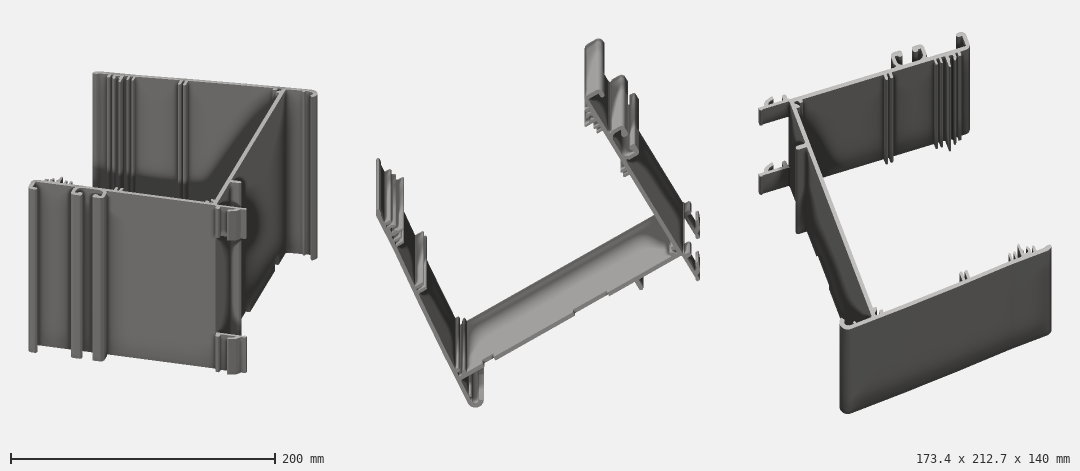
import cadquery as cq
import math

height = 140.0
wall = 3.2

web_left = 145.0
web_right = web_left + wall

plate_bottom = 12.5
plate_top = plate_bottom + wall
plate_left = 3.2
plate_corner_radius = 4.5

arch_start = (34.2, 200.0)
arch_middle = (93.2, 206.3)
arch_end = (166.5, 212.7)
hook_center = (167.0, 206.3)
hook_radius = 6.4
hook_wall = 3.6
hook_start_angle = 95
hook_end_angle = -57
hook_bead_center = (162.3, 208.3)
hook_bead_radius = 1.0
upper_corner_y = 206.8
upper_root_y = 208.0

end_rib = (12.1, 2.3)
thin_ribs = [(27.5, 1.7), (31.5, 1.7)]
middle_ribs = [(67.0, 2.3), (71.0, 2.3)]
rib_root = 13.2
rib_tip = 20.6
mirror_y = 105.3
upper_middle_rib_root = 202.0
upper_middle_rib_tip = 193.4
lower_end_rib_tip = 19.1
upper_end_rib_root = 197.0
upper_end_rib_tip = 190.0

lip_thickness = 3.6
lip_bend_radius = 3.2
edge_lip_end = 10.6
edge_bend_radius = 4.0
slot_center_x = 50.0
slot_half_width = 13.2
slot_arm = 2.8
slot_lip_length = 9.1
slot_bead_radius = 2.1
slot_bead_center_y = 3.2
slot_dome_radius = 4.7
relief_radius = 1.0
relief_drop = 1.3

fin_bottom = 52.0
fin_thickness = 3.5
fin_end = 156.5
flange_bottom = 11.7
flange_thickness = 2.3
flange_start = 147.6
flange_end = 172.0
tip_bead_center = (170.5, 13.5)
tip_bead_radius = 1.3
leg_left = 149.0
leg_width = 3.5
leg_bottom = 7.5
leg_chamfer = 0.9
root_fillet = 1.3

window_bottom = 30.5
window_top = 114.9
window_y_top = 21.3
corner_notch = (177.6, 187.2, 10.0)
middle_notch = (77.6, 107.6, 6.5)


def extrude(outline):
    """Extrude a closed outline over the full height of the profile."""
    return outline.close().extrude(height)


def polygon(points):
    return extrude(cq.Workplane("XY").polyline(points))


def disc(center, radius):
    return cq.Workplane("XY").center(*center).circle(radius).extrude(height)


def slab(x0, x1, y0, y1):
    return polygon([(x0, y0), (x1, y0), (x1, y1), (x0, y1)])


def round_rib(left, width, root, tip):
    """Rib along Y with a half-round end at tip."""
    radius = width / 2
    shoulder = tip - math.copysign(radius, tip - root)
    return extrude(
        cq.Workplane("XY")
        .moveTo(left, root)
        .lineTo(left, shoulder)
        .threePointArc((left + radius, tip), (left + width, shoulder))
        .lineTo(left + width, root)
    )


def mirrored(body):
    """Mirror a body across the middle plane between the two plates."""
    return body.mirror("XZ", (0, mirror_y, 0))


def fused(bodies):
    whole = bodies[0]
    for body in bodies[1:]:
        whole = whole.union(body)
    return whole


def web_root(x, y, side):
    """Concave fillet between the web and a wall; side is the Y direction it opens to."""
    corner = slab(x, x + root_fillet, *sorted((y, y + side * root_fillet)))
    return corner.cut(disc((x + root_fillet, y + side * root_fillet), root_fillet))


def upper_plate():
    def lowered(point):
        return (point[0], point[1] - wall)

    return extrude(
        cq.Workplane("XY")
        .moveTo(*arch_start)
        .threePointArc(arch_middle, arch_end)
        .lineTo(*lowered(arch_end))
        .threePointArc(lowered(arch_middle), lowered(arch_start))
        .lineTo(14.9, 195.3)
        .lineTo(6.0, 194.5)
        .lineTo(3.2, 193.1)
        .lineTo(0.9, 193.1)
        .lineTo(0, 194.0)
        .lineTo(0.2, 195.0)
        .threePointArc((2.3, 197.0), (6.0, 197.8))
    )


def upper_hook():
    center_x, center_y = hook_center
    inner_radius = hook_radius - hook_wall

    def at(radius, degrees):
        angle = math.radians(degrees)
        return (center_x + radius * math.cos(angle), center_y + radius * math.sin(angle))

    ring = extrude(
        cq.Workplane("XY")
        .moveTo(*at(hook_radius, hook_start_angle))
        .threePointArc(at(hook_radius, 0), at(hook_radius, hook_end_angle))
        .lineTo(*at(inner_radius, hook_end_angle))
        .threePointArc(at(inner_radius, 0), at(inner_radius, hook_start_angle))
    )
    return ring.union(disc(hook_bead_center, hook_bead_radius))


def lower_plate():
    """Plate whose left edge bends down into a lip."""
    inner_left = plate_left + wall
    lip_radius = lip_thickness / 2
    plate = slab(plate_left, web_right, 0, plate_top)
    plate = plate.edges("|Z and <X and >Y").fillet(plate_corner_radius)
    plate = plate.edges("|Z and <X and <Y").fillet(edge_bend_radius)
    plate = plate.cut(slab(inner_left, web_right, lip_thickness, plate_bottom))
    plate = plate.cut(slab(edge_lip_end - lip_radius, web_right, 0, lip_thickness))
    return plate.union(disc((edge_lip_end - lip_radius, lip_radius), lip_radius))


def slot_side(side):
    """One arm of the T-slot with its beaded lip; side is -1 for left and +1 for right."""
    def across(distance):
        return slot_center_x + side * distance

    def block(inner, outer, y0, y1):
        return slab(*sorted((across(inner), across(outer))), y0, y1)

    inner_half = slot_half_width - slot_arm
    lip_half = slot_half_width - slot_lip_length
    dome_half = inner_half - slot_dome_radius
    bead_half = lip_half + slot_bead_radius
    outer_corner = "|Z and <Y and " + ("<X" if side < 0 else ">X")
    arm = block(bead_half, slot_half_width, 0, plate_top).edges(outer_corner).fillet(lip_bend_radius)
    arm = arm.cut(block(bead_half, inner_half, lip_thickness, plate_bottom))
    dome_y = plate_bottom - slot_dome_radius
    dome = block(dome_half, inner_half, dome_y, plate_bottom)
    dome = dome.cut(disc((across(dome_half), dome_y), slot_dome_radius))
    lip_bead = disc((across(bead_half), slot_bead_center_y), slot_bead_radius)
    lip_edge = disc((across(lip_half + lip_thickness / 2), lip_thickness / 2), lip_thickness / 2)
    relief = disc((across(slot_half_width), plate_bottom - relief_drop), relief_radius)
    return fused([arm, dome, lip_bead, lip_edge]).cut(relief)


def snap_teeth():
    """Pair of barbed teeth, the right one extended into a long rib."""
    floor = 16.4
    return polygon([
        (16.2, rib_root),
        (16.2, 19.1),
        (17.5, 21.3),
        (18.3, 22.0),
        (19.0, 20.0),
        (18.0, 17.9),
        (19.0, floor),
        (21.7, floor),
        (21.7, 17.9),
        (21.0, 19.0),
        (22.5, 21.5),
        (22.5, 24.9),
        (23.2, 25.7),
        (23.6, 25.7),
        (24.3, 24.9),
        (24.3, rib_root),
    ])


def rib_cluster():
    return [snap_teeth()] + [round_rib(left, width, rib_root, rib_tip) for left, width in thin_ribs]


def screw_channel(floor, side):
    """Boss and barb that hold a screw in the corner; side is the Y direction away from the plate."""
    root = -wall / 2
    boss = [(138.7, root), (138.7, 2.3), (141.0, 2.3), (141.9, 0.9), (141.9, root)]
    barb = [(146.8, 1.3), (145.0, 1.3), (142.5, 3.6), (141.9, 5.3), (142.7, 5.7), (146.8, 5.7)]
    return [polygon([(x, floor + side * rise) for x, rise in outline]) for outline in (boss, barb)]


def fin():
    radius = fin_thickness / 2
    bar = slab(web_left, fin_end - radius, fin_bottom, fin_bottom + fin_thickness)
    return bar.union(disc((fin_end - radius, fin_bottom + radius), radius))


def lower_flange():
    """Thin flange with a straight leg, a beaded tip and a curved hook."""
    flange = slab(flange_start, flange_end, flange_bottom, flange_bottom + flange_thickness)
    tip_bead = disc(tip_bead_center, tip_bead_radius)
    leg = slab(leg_left, leg_left + leg_width, leg_bottom, flange_bottom + flange_thickness / 2)
    leg = leg.edges("|Z and <Y").chamfer(leg_chamfer)
    hook = extrude(
        cq.Workplane("XY")
        .moveTo(168.0, 12.3)
        .threePointArc((167.2, 10.0), (165.3, 7.9))
        .lineTo(160.0, 5.7)
        .lineTo(159.0, 6.0)
        .lineTo(159.0, 8.0)
        .lineTo(160.0, 8.7)
        .threePointArc((163.0, 9.8), (164.9, 12.3))
    )
    return fused([flange, tip_bead, leg, hook])


def web_notch(y0, y1, depth):
    """Notch through the web, open at the bottom."""
    return cq.Workplane("XY").box(wall, y1 - y0, depth, centered=False).translate((web_left, y0, 0))


bodies = [upper_plate(), upper_hook(), lower_plate()]
bodies.append(slab(web_left, web_right, plate_bottom, upper_corner_y + wall))
bodies += [slot_side(-1), slot_side(1)]
for body in rib_cluster():
    bodies += [body, mirrored(body)]
for left, width in middle_ribs:
    bodies.append(round_rib(left, width, rib_root, rib_tip))
    bodies.append(round_rib(left, width, upper_middle_rib_root, upper_middle_rib_tip))
bodies.append(slab(end_rib[0], sum(end_rib), rib_root, lower_end_rib_tip))
bodies.append(round_rib(*end_rib, upper_end_rib_root, upper_end_rib_tip))
bodies += screw_channel(plate_top, 1)
bodies += screw_channel(upper_corner_y, -1)
bodies += [fin(), lower_flange()]
bodies.append(web_root(web_right, fin_bottom, -1))
bodies.append(web_root(web_right, flange_bottom + flange_thickness, 1))
bodies.append(web_root(web_right, upper_root_y, -1))
profile = fused(bodies)

window = (
    cq.Workplane("XY")
    .box(flange_end, window_y_top, window_top - window_bottom, centered=False)
    .translate((web_right, 0, window_bottom))
)

result = profile.cut(window).cut(web_notch(*corner_notch)).cut(web_notch(*middle_notch))